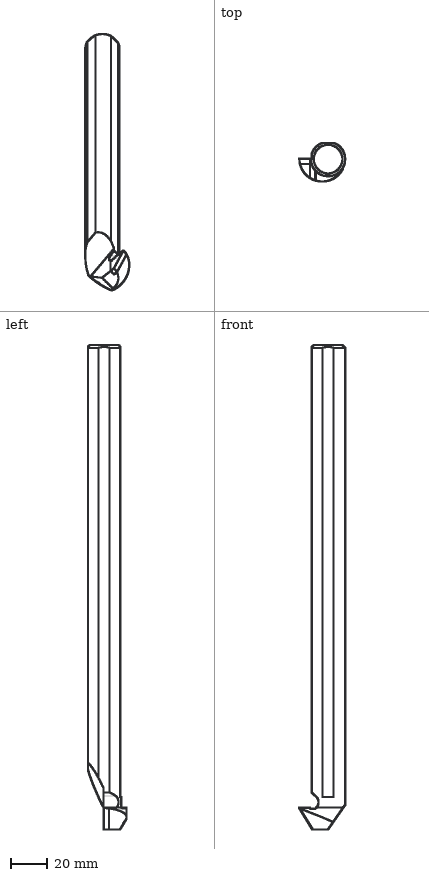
import cadquery as cq

length = 266.9
bar_diameter = 19.0
bar_radius = bar_diameter / 2
end_chamfer = 1.5
flat_depth = 0.48
flat_offset = bar_radius - flat_depth
flat_end_z = 18.0

head_top_z = 12.0
head_radius = 12.68
head_center_x = bar_radius - head_radius
head_center_y = 0.3
cone_bottom_radius = 8.8
cone_top_radius = 16.0
rake_y = 0.3
heel_foot_x = 0.0
heel_top_z = 13.5

scoop_roof_outer = (-10.7, 22.0)
scoop_roof_inner = (-7.0, 18.5)
scoop_deepest = (-5.3, 15.7)
scoop_foot_x = -7.2
scoop_floor_end_x = -10.0
scoop_floor_depth = 0.5
flute_left_z = 36.5
flute_slope_x = -0.6
flute_slope_y = 2.0

tip_thickness = 3.0
tip_inner_x = -6.5

margin = 53.5


def make_bar():
    bar = cq.Workplane("XY").circle(bar_radius).extrude(length)
    return bar.faces(">Z").chamfer(end_chamfer)


def make_flat_cutter():
    """Slab outside the left flat."""
    return (
        cq.Workplane("XY")
        .box(flat_depth, bar_diameter, length, centered=(False, True, False))
        .translate((-bar_radius, 0, flat_end_z))
    )


def make_head_blank():
    disc = (
        cq.Workplane("XY")
        .center(head_center_x, head_center_y)
        .circle(head_radius)
        .extrude(head_top_z)
    )
    cone = cq.Solid.makeCone(cone_bottom_radius, cone_top_radius, head_top_z)
    return disc.intersect(cq.Workplane(cone))


def make_heel_cutter():
    """Wedge below the sloping heel plane."""
    slope = heel_top_z / (bar_radius - heel_foot_x)
    return (
        cq.Workplane("XZ")
        .moveTo(heel_foot_x, 0)
        .lineTo(heel_foot_x + margin, margin * slope)
        .lineTo(heel_foot_x + margin, 0)
        .close()
        .extrude(margin, both=True)
    )


def make_flute_cutter():
    """Half space below the sloping flute plane, behind the rake face."""
    flat_half_width = (bar_radius**2 - flat_offset**2) ** 0.5
    normal = cq.Vector(flute_slope_x, flute_slope_y, -1)
    plane = cq.Plane(
        origin=(-flat_half_width, flat_offset, flute_left_z),
        xDir=(1, 0, flute_slope_x),
        normal=normal,
    )
    below_flute = cq.Workplane(plane).rect(2 * margin, 2 * margin).extrude(margin)
    behind_rake = (
        cq.Workplane("XY")
        .box(2 * margin, margin, 2 * margin, centered=(True, False, True))
        .translate((0, rake_y, 0))
    )
    return below_flute.intersect(behind_rake)


def make_scoop_cutter():
    """Sloping roof, curved wall and shallow floor, running straight along Y."""
    floor_z = head_top_z - scoop_floor_depth
    return (
        cq.Workplane("XZ")
        .moveTo(*scoop_roof_outer)
        .lineTo(*scoop_roof_inner)
        .threePointArc(scoop_deepest, (scoop_foot_x, floor_z))
        .lineTo(scoop_floor_end_x, floor_z)
        .lineTo(scoop_floor_end_x, head_top_z)
        .lineTo(scoop_roof_outer[0], head_top_z)
        .close()
        .extrude(margin, both=True)
    )


def make_tip_space():
    """Block that bounds the tip: flat back, flat inner end."""
    return (
        cq.Workplane("XY")
        .box(margin, tip_thickness, head_top_z, centered=False)
        .translate((tip_inner_x - margin, rake_y - tip_thickness, 0))
    )


def make_tool_blank():
    bar = make_bar()
    flat_cutter = make_flat_cutter()
    for angle in (0, 90, -90):
        bar = bar.cut(flat_cutter.rotate((0, 0, 0), (0, 0, 1), angle))
    upper_bar = bar.intersect(
        cq.Workplane("XY").workplane(offset=head_top_z).circle(margin).extrude(length)
    )
    tool = upper_bar.union(make_head_blank())
    tool = tool.cut(make_heel_cutter())
    tool = tool.cut(make_flute_cutter())
    clear_back = (
        cq.Workplane("XY")
        .box(2 * margin, margin, head_top_z, centered=(True, False, False))
        .translate((0, rake_y, 0))
    )
    return tool.cut(clear_back).cut(make_scoop_cutter())


tool_blank = make_tool_blank()
tip_space = make_tip_space()
holder = tool_blank.cut(tip_space)
tip = tool_blank.intersect(tip_space)

result = cq.Compound.makeCompound([*holder.solids().vals(), *tip.solids().vals()])